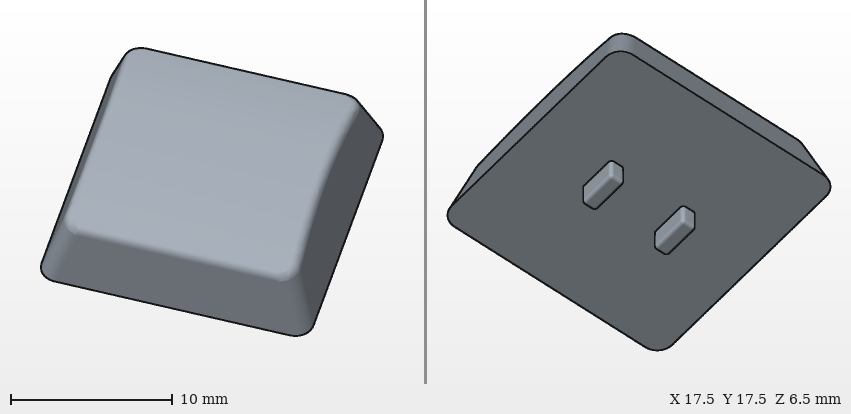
import cadquery as cq

base_side = 17.5
crown_height = 5.0
draft_angle = 17.0
corner_radius = 1.25
crown_radius = 28.0
rim_fillet = 0.6

prong_spacing = 5.7
prong_width = 1.1
prong_length = 2.9
prong_drop = 1.5
prong_fillet = 0.25
prong_embed = 0.5


def cap_blank():
    """Square frustum with rounded corner edges."""
    blank = cq.Workplane("XY").rect(base_side, base_side).extrude(crown_height, taper=draft_angle)
    return blank.edges("not(#Z)").fillet(corner_radius)


def crown_cylinder():
    """Cylinder along X whose top line lies at the crown height."""
    return (
        cq.Workplane("YZ")
        .center(0, crown_height - crown_radius)
        .circle(crown_radius)
        .extrude(base_side / 2, both=True)
    )


def cap():
    """Cap with a convex top curved front to back and a rounded rim."""
    domed = cap_blank().intersect(crown_cylinder())
    return domed.faces("%CYLINDER").faces(">Z").edges().fillet(rim_fillet)


def prong(x_centre):
    """Rounded rectangular prong below the base, rooted inside the cap."""
    body = (
        cq.Workplane("XY", origin=(x_centre, 0, -prong_drop))
        .rect(prong_width, prong_length)
        .extrude(prong_drop + prong_embed)
    )
    return body.edges("|Z or <Z").fillet(prong_fillet)


result = cap()
for side in (-1, 1):
    result = result.union(prong(side * prong_spacing / 2))